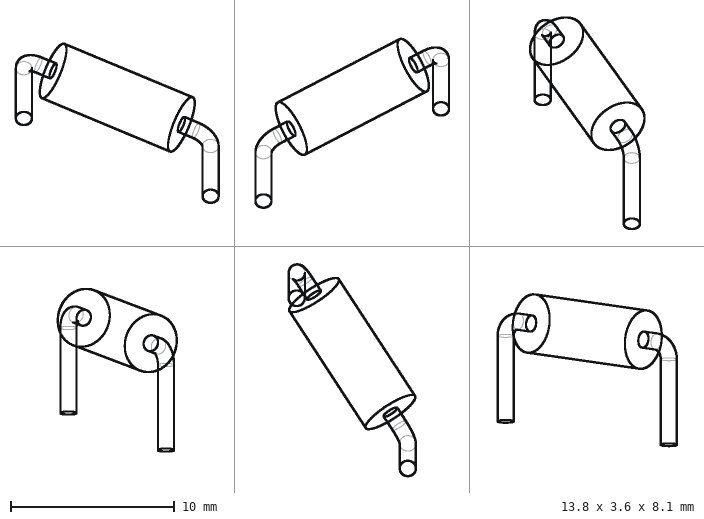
import cadquery as cq

overall_length = 13.8
overall_height = 8.1
body_diameter = 3.6
body_length = 8.8
lead_diameter = 1.0
bend_radius = 1.0

axis_height = overall_height - body_diameter / 2
lead_x = (overall_length - lead_diameter) / 2
bend_start_z = axis_height - bend_radius
bend_end_x = lead_x - bend_radius


def make_body():
    """Cylinder lying along X."""
    return (
        cq.Workplane("YZ", origin=(-body_length / 2, 0, axis_height))
        .circle(body_diameter / 2)
        .extrude(body_length)
    )


def make_right_lead():
    """Round wire rising from its tip, bending inward and running to mid-body."""
    path = (
        cq.Workplane("XZ")
        .moveTo(lead_x, 0)
        .lineTo(lead_x, bend_start_z)
        .tangentArcPoint((bend_end_x, axis_height), relative=False)
        .lineTo(0, axis_height)
    )
    return cq.Workplane("XY").center(lead_x, 0).circle(lead_diameter / 2).sweep(path)


right_lead = make_right_lead()
left_lead = right_lead.mirror("YZ")
result = make_body().union(right_lead).union(left_lead)